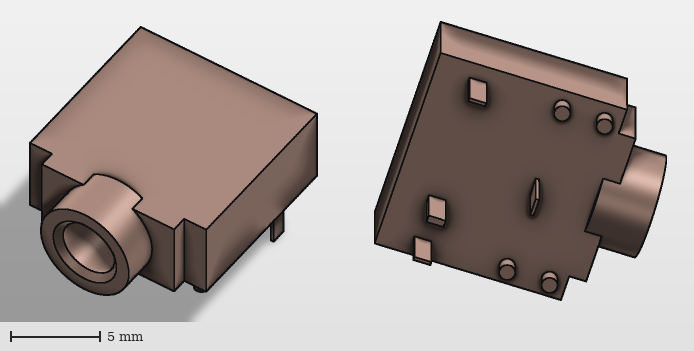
import cadquery as cq

BODY_WIDTH = 12.0
BODY_DEPTH = 11.0
BODY_HEIGHT = 5.0
FRONT_Y = -BODY_DEPTH / 2
REAR_Y = BODY_DEPTH / 2

PANEL_WIDTH = 9.0
PANEL_THICKNESS = 1.0

BARREL_DIAMETER = 6.0
BARREL_LENGTH = 3.3
BARREL_AXIS_Z = BODY_HEIGHT / 2
BARREL_FRONT_Y = FRONT_Y - BARREL_LENGTH
BORE_DIAMETER = 3.5
LEAD_IN_DIAMETER = 4.3
LEAD_IN_DEPTH = (LEAD_IN_DIAMETER - BORE_DIAMETER) / 2

PEG_DIAMETER = 0.9
PEG_LENGTH = 1.0
PEG_X = 5.0
FRONT_PEG_SETBACK = 1.0
SECOND_PEG_SETBACK = 3.5
FRONT_PEG_Y = FRONT_Y + FRONT_PEG_SETBACK
SECOND_PEG_Y = FRONT_Y + SECOND_PEG_SETBACK

TERMINAL_LENGTH = 3.3
TERMINAL_WIDTH = 1.0
TERMINAL_THICKNESS = 0.2
REAR_TERMINAL_SETBACK = 2.5
REAR_TERMINAL_Y = REAR_Y - REAR_TERMINAL_SETBACK
SWITCH_TERMINAL_X = 2.5
SWITCH_TERMINAL_THICKNESS = 0.4


def make_housing():
    """Rectangular housing with the narrower panel standing off its front face."""
    body = cq.Workplane("XY").box(BODY_WIDTH, BODY_DEPTH, BODY_HEIGHT, centered=(True, True, False))
    panel = (
        cq.Workplane("XY")
        .center(0, FRONT_Y - PANEL_THICKNESS / 2)
        .box(PANEL_WIDTH, PANEL_THICKNESS, BODY_HEIGHT, centered=(True, True, False))
    )
    return body.union(panel)


def make_barrel():
    """Round barrel running forward from the front face of the housing."""
    return (
        cq.Workplane("XZ", origin=(0, FRONT_Y, BARREL_AXIS_Z))
        .circle(BARREL_DIAMETER / 2)
        .extrude(BARREL_LENGTH)
    )


def make_bore():
    """Plug bore with a conical lead-in, ending at the front face of the housing."""
    bore_radius = BORE_DIAMETER / 2
    lead_in_end_y = BARREL_FRONT_Y + LEAD_IN_DEPTH
    return (
        cq.Workplane("XY", origin=(0, 0, BARREL_AXIS_Z))
        .moveTo(0, BARREL_FRONT_Y)
        .lineTo(LEAD_IN_DIAMETER / 2, BARREL_FRONT_Y)
        .lineTo(bore_radius, lead_in_end_y)
        .lineTo(bore_radius, FRONT_Y)
        .lineTo(0, FRONT_Y)
        .close()
        .revolve(360, (0, 0, 0), (0, 1, 0))
    )


def make_pegs():
    """Two pairs of round locating pegs, one pair behind the other."""
    centers = [(x, y) for x in (-PEG_X, PEG_X) for y in (FRONT_PEG_Y, SECOND_PEG_Y)]
    return cq.Workplane("XY").pushPoints(centers).circle(PEG_DIAMETER / 2).extrude(-PEG_LENGTH)


def make_terminal(x, y, size_x, size_y):
    """Flat solder terminal hanging from the underside of the housing."""
    return cq.Workplane("XY").center(x, y).rect(size_x, size_y).extrude(-TERMINAL_LENGTH)


result = make_housing().union(make_barrel()).cut(make_bore()).union(make_pegs())

result = result.union(make_terminal(0, SECOND_PEG_Y, TERMINAL_WIDTH, TERMINAL_THICKNESS))

for blade_x in (-PEG_X, PEG_X):
    result = result.union(make_terminal(blade_x, REAR_TERMINAL_Y, TERMINAL_THICKNESS, TERMINAL_WIDTH))
result = result.union(
    make_terminal(SWITCH_TERMINAL_X, REAR_TERMINAL_Y, SWITCH_TERMINAL_THICKNESS, TERMINAL_WIDTH)
)